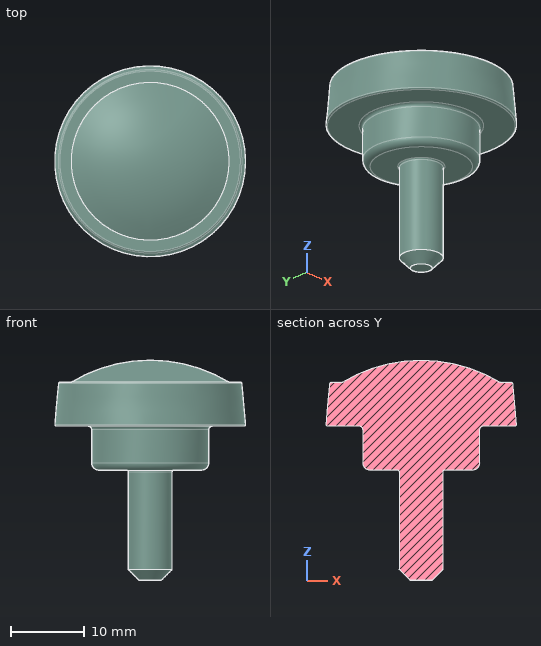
import cadquery as cq

stud_length = 15.0
boss_height = 6.0
rim_height = 6.0
dome_height = 3.0
rim_bottom = stud_length + boss_height
rim_top = rim_bottom + rim_height
total_height = rim_top + dome_height

stud_radius = 6.0 / 2
boss_radius = 16.0 / 2
rim_bottom_radius = 13.02
rim_top_radius = 12.48
dome_radius = 10.75

tip_chamfer = 1.5
stud_root_fillet = 0.2
boss_bottom_fillet = 1.02
boss_top_fillet = 0.48
rim_edge_fillet = 0.2


def make_stud():
    """Round stud with a chamfered tip."""
    stud = cq.Workplane("XY").circle(stud_radius).extrude(stud_length)
    return stud.faces("<Z").chamfer(tip_chamfer)


def make_head():
    """Boss, tapered rim and spherical dome, revolved about Z."""
    sphere_radius = (dome_radius**2 + dome_height**2) / (2 * dome_height)
    mid_radius = dome_radius / 2
    mid_height = total_height - sphere_radius + (sphere_radius**2 - mid_radius**2) ** 0.5
    profile = (
        cq.Workplane("XZ")
        .moveTo(0, stud_length)
        .lineTo(boss_radius, stud_length)
        .lineTo(boss_radius, rim_bottom)
        .lineTo(rim_bottom_radius, rim_bottom)
        .lineTo(rim_top_radius, rim_top)
        .lineTo(dome_radius, rim_top)
        .threePointArc((mid_radius, mid_height), (0, total_height))
        .close()
    )
    return profile.revolve(360, (0, 0, 0), (0, 1, 0))


def circle_at(body, radius, height):
    """Select the circular edge of the given radius at the given height."""
    near = 0.003
    low_corner = (-radius - near, -radius - near, height - near)
    high_corner = (radius + near, radius + near, height + near)
    edges = body.edges(cq.selectors.BoxSelector(low_corner, high_corner, boundingbox=True))
    return edges.filter(lambda edge: abs(edge.radius() - radius) < near)


head = make_head()
head = circle_at(head, boss_radius, stud_length).fillet(boss_bottom_fillet)
head = circle_at(head, boss_radius, rim_bottom).fillet(boss_top_fillet)
head = circle_at(head, rim_bottom_radius, rim_bottom).fillet(rim_edge_fillet)
head = circle_at(head, rim_top_radius, rim_top).fillet(rim_edge_fillet)

knob = head.union(make_stud())
result = circle_at(knob, stud_radius, stud_length).fillet(stud_root_fillet)